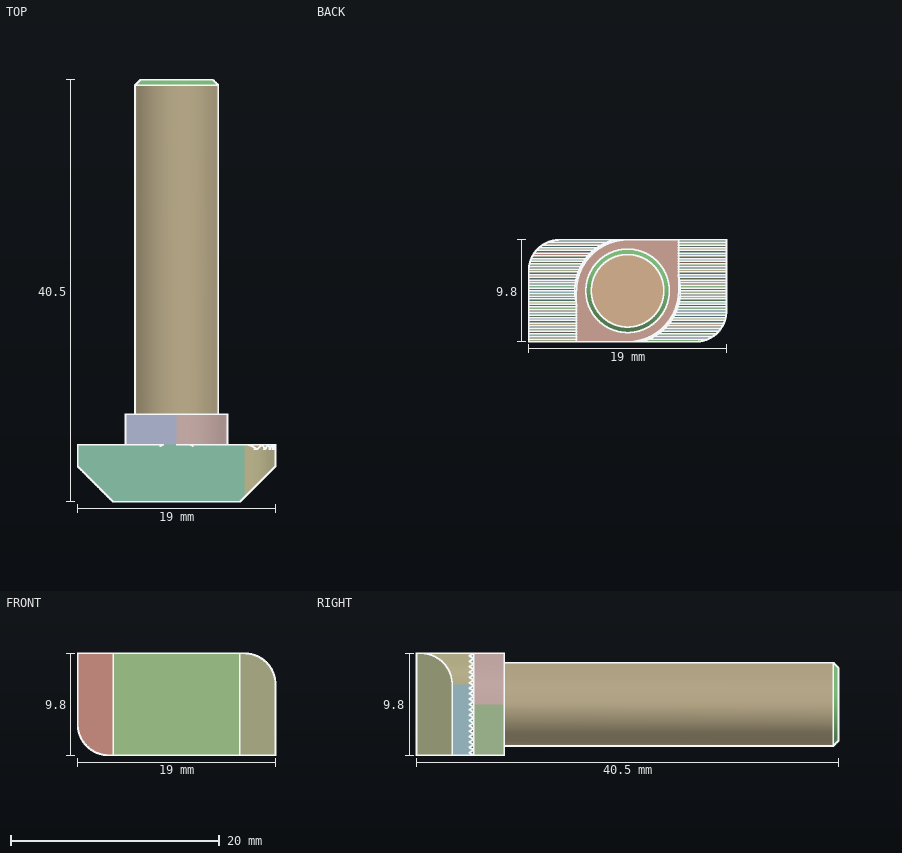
import cadquery as cq
import math

total_length = 40.5

head_width = 19.0
head_height = 9.8
head_depth = 5.5
bottom_face_width = 12.15
head_corner_radius = 3.0

neck_size = head_height
neck_length = 2.9
neck_corner_radius = neck_size / 2

shank_diameter = 8.0
tip_chamfer = 0.53

groove_count = 19
groove_angle = 60.0
core_radius = 5.05

neck_end = head_depth + neck_length
groove_pitch = head_height / groove_count
groove_depth = groove_pitch / 2 / math.tan(math.radians(groove_angle / 2))


def section_at(y):
    """Workplane across the bolt axis: local x is +X, local y is +Z, extruding runs to -Y."""
    return cq.Workplane("XZ", origin=(0, y, 0))


def block_with_two_round_corners(width, height, radius, start, length):
    """Block along +Y, rounded at its (+X, +Z) corner and the opposite (-X, -Z) corner."""
    block = section_at(start).rect(width, height).extrude(-length)
    for end in (">X", "<X"):
        corner = end.replace("X", "Z")
        block = block.faces(end).edges(corner).fillet(radius)
    return block


def make_head():
    """Head bar with its ends tapered at 45 degrees."""
    bar = block_with_two_round_corners(head_width, head_height, head_corner_radius, 0, head_depth)
    half_width = head_width / 2
    half_bottom = bottom_face_width / 2
    taper = half_width - half_bottom
    outline = (
        cq.Workplane("XY")
        .moveTo(-half_bottom, 0)
        .lineTo(half_bottom, 0)
        .lineTo(half_width, taper)
        .lineTo(half_width, head_depth)
        .lineTo(-half_width, head_depth)
        .lineTo(-half_width, taper)
        .close()
        .extrude(head_height / 2, both=True)
    )
    return bar.intersect(outline)


def make_groove_cutter():
    """Row of V grooves along X, stopping at the round core."""
    core = section_at(0).circle(core_radius).extrude(-head_depth)
    groove = (
        cq.Workplane("YZ")
        .moveTo(head_depth, -groove_pitch / 2)
        .lineTo(head_depth - groove_depth, 0)
        .lineTo(head_depth, groove_pitch / 2)
        .close()
        .extrude(head_width / 2, both=True)
    )
    row = cq.Workplane("XY")
    for index in range(groove_count):
        height = (index - (groove_count - 1) / 2) * groove_pitch
        row = row.add(groove.translate((0, 0, height)))
    return row.combine(glue=False).cut(core)


def make_shank():
    """Cylinder from the neck to the chamfered tip."""
    shank = section_at(neck_end).circle(shank_diameter / 2).extrude(neck_end - total_length)
    return shank.faces(">Y").chamfer(tip_chamfer)


head = make_head().cut(make_groove_cutter())
neck = block_with_two_round_corners(neck_size, neck_size, neck_corner_radius, head_depth, neck_length)
result = head.union(neck).union(make_shank())